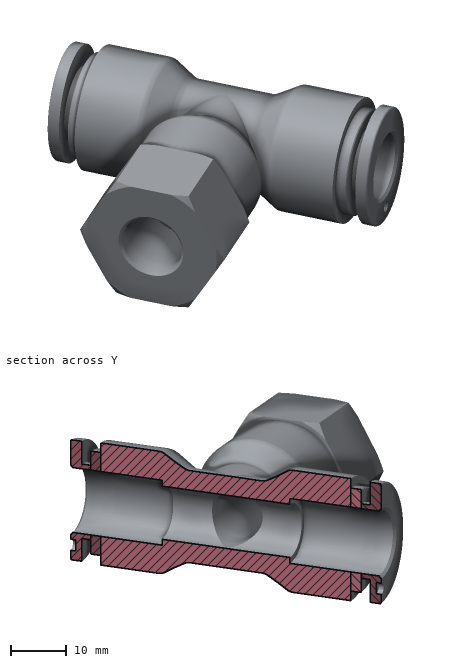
import cadquery as cq
import math

overall_length = 61.2
barrel_diameter = 23.2
neck_diameter = 17.5
run_half_length = 24.65
branch_length = 24.55
cone_start = 7.7
cone_angle = 30.0
cone_round = 1.95
passage_diameter = 10.0

tube_diameter = 12.2
collar_diameter = 19.6
collar_length = 2.0
collar_chamfer = 0.2
sleeve_diameter = 14.2
flange_width = 19.5
flange_height = 22.75
flange_thickness = 2.25
flange_round = 0.35
mouth_chamfer = 0.5
mark_hole_diameter = 2.0
mark_hole_depth = 1.0
mark_hole_drop = 8.5

hex_across_flats = 24.0
nut_length = 14.2
nut_face_diameter = 25.15
nut_chamfer_angle = 30.0
thread_diameter = 11.45
thread_chamfer = 0.5

half_length = overall_length / 2
barrel_radius = barrel_diameter / 2
neck_radius = neck_diameter / 2
cone_end = cone_start + (barrel_radius - neck_radius) / math.tan(math.radians(cone_angle))
collar_face = run_half_length + collar_length


def cylinder_x(diameter, start, end):
    """Cylinder on the X axis between two X positions."""
    return cq.Workplane("YZ", origin=(start, 0, 0)).circle(diameter / 2).extrude(end - start)


def arm(length, neck_rounded):
    """One solid arm of the tee along +X, from the centre outward."""
    solid = (
        cq.Workplane("XY")
        .moveTo(0, 0)
        .lineTo(0, neck_radius)
        .lineTo(cone_start, neck_radius)
        .lineTo(cone_end, barrel_radius)
        .lineTo(length, barrel_radius)
        .lineTo(length, 0)
        .close()
        .revolve(360, (0, 0, 0), (1, 0, 0))
    )
    corners = [cone_end]
    if neck_rounded:
        corners.append(cone_start)
    for corner in corners:
        near_corner = cq.selectors.BoxSelector(
            (corner - 0.05, -barrel_diameter, -barrel_diameter),
            (corner + 0.05, barrel_diameter, barrel_diameter),
        )
        solid = solid.edges("%CIRCLE").edges(near_corner).fillet(cone_round)
    return solid


def make_tee():
    run_arm = arm(run_half_length, True)
    branch = arm(branch_length, False).rotate((0, 0, 0), (0, 0, 1), -90)
    tee = run_arm.union(run_arm.mirror("YZ")).union(branch)

    tee = tee.cut(cylinder_x(passage_diameter, -run_half_length, run_half_length))
    tee = tee.cut(cq.Workplane("XZ").circle(passage_diameter / 2).extrude(branch_length))
    socket = cylinder_x(tube_diameter, cone_end, run_half_length)
    return tee.cut(socket).cut(socket.mirror("YZ"))


def make_collar():
    """Ring against the +X end face of the run, flush with the tube bore."""
    ring = cylinder_x(collar_diameter, run_half_length, collar_face)
    ring = ring.faces(">X").chamfer(collar_chamfer)
    return ring.cut(cylinder_x(tube_diameter, run_half_length, collar_face))


def make_sleeve():
    """Release sleeve on the +X end: short neck with an oval flange and a small blind marking hole."""
    flange = (
        cq.Workplane("YZ", origin=(half_length - flange_thickness, 0, 0))
        .ellipse(flange_width / 2, flange_height / 2)
        .extrude(flange_thickness)
        .faces(">X")
        .fillet(flange_round)
    )
    sleeve = flange.union(cylinder_x(sleeve_diameter, collar_face, half_length))
    sleeve = sleeve.cut(cylinder_x(tube_diameter, collar_face, half_length))
    sleeve = sleeve.faces(">X").edges(cq.selectors.RadiusNthSelector(0)).chamfer(mouth_chamfer)

    mark_hole = cylinder_x(mark_hole_diameter, half_length - mark_hole_depth, half_length)
    return sleeve.cut(mark_hole.translate((0, 0, -mark_hole_drop)))


def make_nut():
    """Hexagonal nut on the branch, with its corners turned off at both ends."""
    corner_radius = hex_across_flats / math.sqrt(3)
    face_radius = nut_face_diameter / 2
    chamfer_height = (corner_radius - face_radius) * math.tan(math.radians(nut_chamfer_angle))
    nut_end = branch_length + nut_length

    hexagon = (
        cq.Workplane("XZ", origin=(0, -branch_length, 0))
        .polygon(6, 2 * corner_radius)
        .extrude(nut_length)
    )
    turned_blank = (
        cq.Workplane("XY")
        .moveTo(0, -branch_length)
        .lineTo(face_radius, -branch_length)
        .lineTo(corner_radius, -branch_length - chamfer_height)
        .lineTo(corner_radius, -nut_end + chamfer_height)
        .lineTo(face_radius, -nut_end)
        .lineTo(0, -nut_end)
        .close()
        .revolve(360, (0, 0, 0), (0, 1, 0))
    )
    nut = hexagon.intersect(turned_blank)
    thread_hole = (
        cq.Workplane("XZ", origin=(0, -branch_length, 0))
        .circle(thread_diameter / 2)
        .extrude(nut_length)
    )
    nut = nut.cut(thread_hole)
    mouth_edge = nut.faces("<Y").edges("%CIRCLE").edges(cq.selectors.RadiusNthSelector(0))
    return mouth_edge.chamfer(thread_chamfer)


tee = make_tee()
nut = make_nut()
collar = make_collar()
sleeve = make_sleeve()

end_parts = []
for end_part in (collar, sleeve):
    end_parts.append(end_part.val())
    end_parts.append(end_part.mirror("YZ").val())

result = cq.Compound.makeCompound([tee.val(), nut.val(), *end_parts])